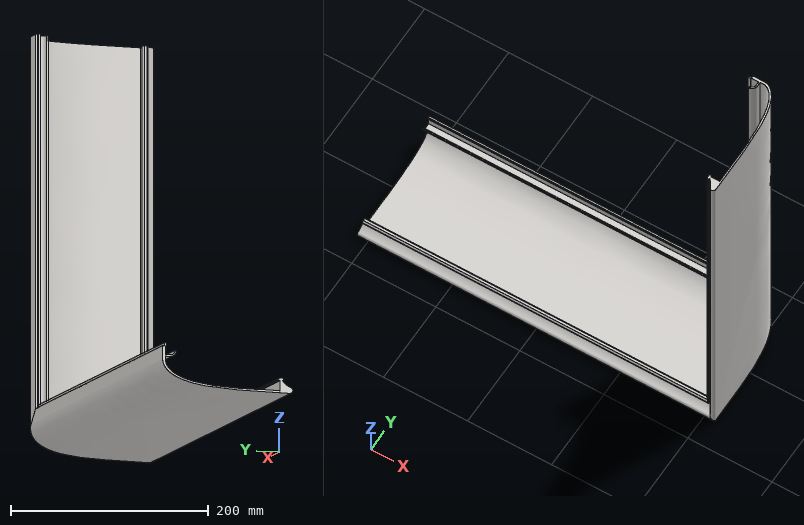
import cadquery as cq
import math


HORIZONTAL_LENGTH = 425.22
VERTICAL_LENGTH = 425.42
PROFILE_HEIGHT = 44.4
PROFILE_DEPTH = 139.81

FRONT_WALL = 2.0
BACK_WALL = 3.2
SHELL_WIDTH = 27.0
SHELL_EXPONENT = 4.4
SHELL_SEGMENTS = 10

NOSE_RADIUS = 3.2
NOSE_SWING = math.radians(70)
FRONT_STEM_Y = 11.3
FRONT_STEM_THICKNESS = 2.5
FRONT_HEAD_Y = 9.5
FRONT_HEAD_DEPTH = 6.5
FRONT_HEAD_BASE_U = 12.6
FRONT_HEAD_TOP_U = 15.4
FRONT_HEAD_CHAMFER = 1.8

BACK_STEM_THICKNESS = 3.5
BACK_HEAD_BASE_U = 41.0
BACK_HEAD_DEPTH = 2.2
BACK_HEAD_SETBACK = 2.0
LIP_BASE_U = 30.3
LIP_TIP_U = 37.0
LIP_FRONT_Y = 124.8
LIP_THICKNESS = 1.8


def arc_point(center, radius, angle):
    """Point on an arc; angle is measured from the -u direction toward +y."""
    return (center[0] - radius * math.cos(angle), center[1] + radius * math.sin(angle))


def shell_profile(plane):
    """Closed outline of the shell with its back edge."""
    outline = cq.Workplane(plane).moveTo(0, NOSE_RADIUS)
    outline = outer_shell(outline)
    outline = back_edge(outline)
    outline = inner_shell(outline)
    return outline.close()


def shell_points(front_inset, back_inset):
    """Points along the shell from front to back, inset from the outer face."""
    width = SHELL_WIDTH - front_inset
    depth = PROFILE_DEPTH - NOSE_RADIUS - back_inset
    points = []
    for step in range(SHELL_SEGMENTS + 1):
        angle = math.pi / 2 * step / SHELL_SEGMENTS
        u = SHELL_WIDTH - width * math.cos(angle)
        y = NOSE_RADIUS + depth * math.sin(angle) ** (2 / SHELL_EXPONENT)
        points.append((u, y))
    return points


def outer_shell(outline):
    """Outer face from the nose to the end of the bend, as one smooth curve."""
    points = shell_points(0, 0)
    return outline.spline(points[1:], includeCurrent=True)


def back_edge(outline):
    """Stem with its head, then the J-shaped lip with a groove between lip and stem."""
    head_back_y = PROFILE_DEPTH - BACK_HEAD_SETBACK
    head_front_y = head_back_y - BACK_HEAD_DEPTH
    stem_front_y = PROFILE_DEPTH - BACK_STEM_THICKNESS
    groove_floor_u = LIP_BASE_U + LIP_THICKNESS
    groove_front_y = LIP_FRONT_Y + LIP_THICKNESS
    lip_radius = LIP_TIP_U - LIP_BASE_U
    groove_radius = lip_radius - LIP_THICKNESS
    lip_center = (LIP_TIP_U, LIP_FRONT_Y + lip_radius)
    return (
        outline
        .lineTo(BACK_HEAD_BASE_U, PROFILE_DEPTH)
        .lineTo(BACK_HEAD_BASE_U, head_back_y)
        .lineTo(PROFILE_HEIGHT, head_back_y)
        .lineTo(PROFILE_HEIGHT, head_front_y)
        .lineTo(BACK_HEAD_BASE_U, head_front_y)
        .lineTo(BACK_HEAD_BASE_U, stem_front_y)
        .lineTo(groove_floor_u, stem_front_y)
        .lineTo(groove_floor_u, lip_center[1])
        .threePointArc(
            arc_point(lip_center, groove_radius, -math.pi / 4),
            (LIP_TIP_U, groove_front_y),
        )
        .lineTo(LIP_TIP_U, LIP_FRONT_Y)
        .threePointArc(
            arc_point(lip_center, lip_radius, -math.pi / 4),
            (LIP_BASE_U, lip_center[1]),
        )
        .lineTo(LIP_BASE_U, PROFILE_DEPTH - BACK_WALL)
    )


def inner_shell(outline):
    """Inner face from the back lip to the nose, as one smooth curve."""
    points = shell_points(FRONT_WALL, BACK_WALL)[::-1]
    return outline.lineTo(*points[0]).spline(points[1:], includeCurrent=True)


def front_profile(plane):
    """Closed outline of the nose, the hollowed front face and the stem with its T-shaped head."""
    stem_back_y = FRONT_STEM_Y + FRONT_STEM_THICKNESS
    head_back_y = FRONT_HEAD_Y + FRONT_HEAD_DEPTH
    chamfer_start_u = FRONT_HEAD_TOP_U - FRONT_HEAD_CHAMFER
    weld_u = FRONT_WALL / 2
    nose_center = (NOSE_RADIUS, NOSE_RADIUS)
    nose_end = arc_point(nose_center, NOSE_RADIUS, -math.pi / 2 - NOSE_SWING)
    return (
        cq.Workplane(plane)
        .moveTo(0, NOSE_RADIUS)
        .threePointArc(arc_point(nose_center, NOSE_RADIUS, -math.pi / 2), nose_end)
        .tangentArcPoint((FRONT_HEAD_BASE_U, FRONT_STEM_Y), relative=False)
        .lineTo(FRONT_HEAD_BASE_U, FRONT_HEAD_Y)
        .lineTo(chamfer_start_u, FRONT_HEAD_Y)
        .lineTo(FRONT_HEAD_TOP_U, FRONT_HEAD_Y + FRONT_HEAD_CHAMFER)
        .lineTo(FRONT_HEAD_TOP_U, head_back_y - FRONT_HEAD_CHAMFER)
        .lineTo(chamfer_start_u, head_back_y)
        .lineTo(FRONT_HEAD_BASE_U, head_back_y)
        .lineTo(FRONT_HEAD_BASE_U, stem_back_y)
        .lineTo(weld_u, stem_back_y)
        .lineTo(weld_u, NOSE_RADIUS)
        .close()
    )


def moulding(plane, length):
    """Straight length of the moulding: the shell joined to its front edge."""
    return shell_profile(plane).extrude(length).union(front_profile(plane).extrude(length))


def mitre_waste(tip):
    """Triangular prism between the 45 degree mitre plane and the square end at the corner."""
    inner_corner = (-PROFILE_HEIGHT, PROFILE_HEIGHT)
    return (
        cq.Workplane("XZ")
        .polyline([(0, 0), inner_corner, tip])
        .close()
        .extrude(-PROFILE_DEPTH)
    )


def horizontal_moulding():
    """Bottom arm: runs toward -X from the corner, with u pointing up."""
    plane = cq.Plane(origin=(0, 0, 0), xDir=(0, 0, 1), normal=(-1, 0, 0))
    arm = moulding(plane, HORIZONTAL_LENGTH)
    return arm.cut(mitre_waste((0, PROFILE_HEIGHT)))


def vertical_moulding():
    """Upright arm: runs toward +Z from the corner, with u pointing toward -X."""
    plane = cq.Plane(origin=(0, 0, 0), xDir=(-1, 0, 0), normal=(0, 0, -1))
    arm = moulding(plane, -VERTICAL_LENGTH)
    return arm.cut(mitre_waste((-PROFILE_HEIGHT, 0)))


bottom_arm = horizontal_moulding()
upright_arm = vertical_moulding()
result = cq.Compound.makeCompound([bottom_arm.val(), upright_arm.val()])